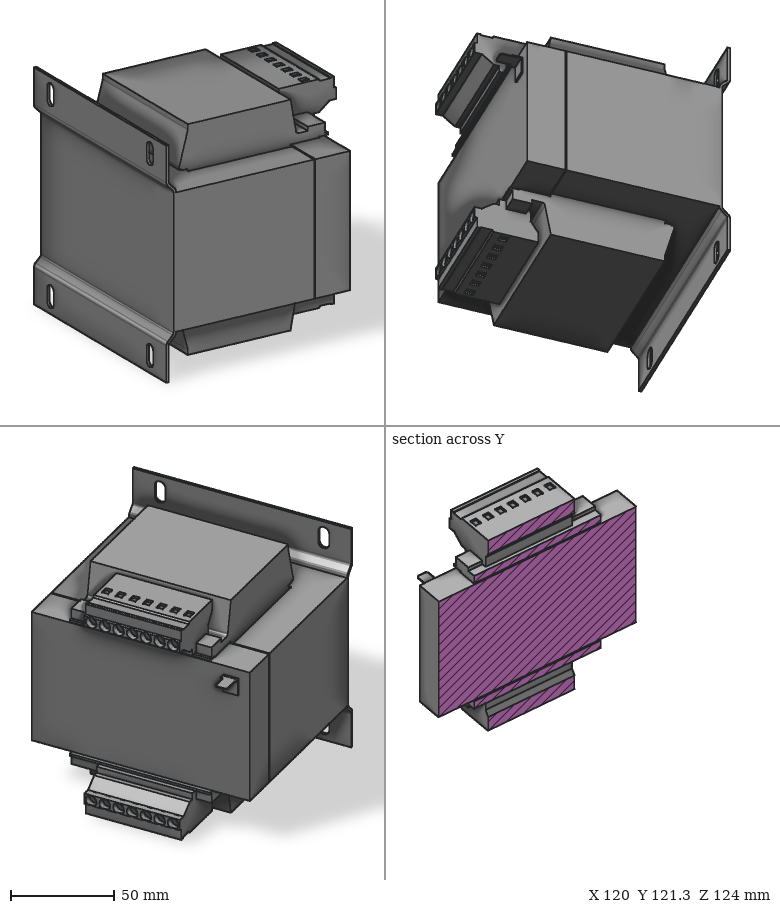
import cadquery as cq
import math


core_width = 120.0
core_height = 72.9
core_front = 5.6
limb = 20.0
window_depth = 59.5
joint_width = 0.5
joint_depth = 0.2
window_front = core_front + limb
window_back = window_front + window_depth
core_back = window_back + joint_width + limb
core_top = core_height / 2

coil_width = 77.1
cover_gap = 0.5
cover_bottom = core_top + cover_gap
rim_step = 0.5
rim_bottom = cover_bottom + rim_step
cover_top = 60.4
corner_radius = 1.7

plate_height = 124.0
plate_thickness = 1.5
plate_offset = core_front - plate_thickness
bend_start = 37.3
bend_inner = 1.5
bend_outer = bend_inner + plate_thickness
slot_width = 6.0
slot_length = 12.0
slot_spacing_x = 90.0
slot_spacing_z = 105.6

pole_count = 7
terminal_left = -30.0
terminal_width = 52.6
pole_pitch = terminal_width / pole_count
terminal_top = 59.9
terminal_back = 121.3
screw_width = 3.5
screw_front = 102.8
screw_length = 4.3
screw_depth = 1.2
wire_hole_radius = 3.0
wire_hole_depth = 3.7
wire_hole_z = 50.6

tab_left = -53.8
tab_base_width = 8.2
tab_blade_left = -53.3
tab_blade_width = 6.5
tab_base_back = 108.9
tab_back = 116.8
tab_tip_chamfer = 0.9
tab_top = 31.4
tab_bottom = 22.1
tab_thickness = 0.5
tab_leg_thickness = 0.7


def box(x0, x1, y0, y1, z0, z1):
    return cq.Workplane("XY").box(x1 - x0, y1 - y0, z1 - z0, centered=False).translate((x0, y0, z0))


def extrude_along_x(points, x0, width):
    """Extrude a closed (Y, Z) outline from x0 towards +X."""
    return cq.Workplane("YZ", origin=(x0, 0, 0)).polyline(points).close().extrude(width)


def make_core():
    half = core_width / 2
    window_half = half - limb
    core = box(-half, half, core_front, core_back, -core_top, core_top)
    core = core.cut(box(-window_half, window_half, window_front, window_back, -core_top, core_top))
    joint = box(-half, half, window_back, window_back + joint_width, -core_top, core_top)
    inner_half = half - joint_depth
    inner_top = core_top - joint_depth
    inside = box(-inner_half, inner_half, core_front, core_back, -inner_top, inner_top)
    return core.cut(joint.cut(inside))


def make_coil():
    """Coil block filling the core window, joining the core to both covers."""
    half = coil_width / 2
    return box(-half, half, window_front, window_back, -cover_bottom, cover_bottom)


def make_cover():
    """Upper cover with a rear ledge and the clip that carries the terminals."""
    ledge = 41.9
    clip_top = 44.1
    clip_front = 94.7
    clip_back = 104.8
    lip_back = 106.4
    lip_top = 38.7
    rear_wall_top = 85.0
    rear_wall_foot = 88.3
    outline = [
        (22.3, cover_bottom),
        (22.3, rim_bottom),
        (21.0, rim_bottom),
        (21.0, 39.0),
        (25.9, 57.5),
        (25.9, cover_top),
        (rear_wall_top, cover_top),
        (rear_wall_foot, ledge),
        (clip_front, ledge),
        (clip_front, clip_top),
        (clip_back, clip_top),
        (clip_back, lip_top),
        (lip_back, lip_top),
        (lip_back, rim_bottom),
        (101.5, rim_bottom),
        (101.5, cover_bottom),
    ]
    cover = extrude_along_x(outline, -coil_width / 2, coil_width)
    corner = cq.selectors.NearestToPointSelector((0, rear_wall_foot, ledge))
    return cover.edges(corner).fillet(corner_radius)


def make_terminals():
    """Upper row of terminals, each pole with a screw pocket and a wire entry."""
    outline = [
        (88.2, terminal_top),
        (111.4, terminal_top),
        (112.1, 58.9),
        (118.0, 58.9),
        (118.0, 59.4),
        (120.0, 59.4),
        (120.0, 53.7),
        (terminal_back, 53.3),
        (terminal_back, 47.4),
        (117.5, 47.4),
        (111.2, 42.5),
        (108.5, 42.5),
        (108.5, 39.0),
        (104.2, 39.0),
        (104.2, 41.9),
        (92.1, 41.9),
        (92.1, 48.0),
        (88.2, 54.1),
    ]
    block = extrude_along_x(outline, terminal_left, terminal_width)
    for pole in range(pole_count):
        x = terminal_left + (pole + 0.5) * pole_pitch
        screw = box(
            x - screw_width / 2, x + screw_width / 2,
            screw_front, screw_front + screw_length,
            terminal_top - screw_depth, terminal_top,
        )
        wire_hole = (
            cq.Workplane("XZ", origin=(x, terminal_back, wire_hole_z))
            .circle(wire_hole_radius)
            .extrude(wire_hole_depth)
        )
        block = block.cut(screw).cut(wire_hole)
    return block


def make_plate():
    """Full-height plate whose two ends step out at 45 degrees into slotted flanges."""
    end = plate_height / 2
    bend_end = bend_start + plate_offset
    shift = plate_thickness * math.tan(math.pi / 8)
    upper = [
        (plate_offset, bend_start),
        (0, bend_end),
        (0, end),
        (plate_thickness, end),
        (plate_thickness, bend_end + shift),
        (core_front, bend_start + shift),
    ]
    lower = [(y, -z) for y, z in reversed(upper)]
    plate = extrude_along_x(upper + lower, -core_width / 2, core_width)
    for side in (1, -1):
        bends = [
            (plate_offset, bend_start, bend_inner),
            (0, bend_end, bend_outer),
            (plate_thickness, bend_end + shift, bend_inner),
            (core_front, bend_start + shift, bend_outer),
        ]
        for y, z, radius in bends:
            corner = cq.selectors.NearestToPointSelector((0, y, side * z))
            plate = plate.edges(corner).fillet(radius)
    slots = (
        cq.Workplane("XZ")
        .rarray(slot_spacing_x, slot_spacing_z, 2, 2)
        .slot2D(slot_length, slot_width, 90)
        .extrude(-plate_thickness)
    )
    return plate.cut(slots)


def make_earth_tab():
    leg_back = core_back + tab_leg_thickness
    base_right = tab_left + tab_base_width
    blade_right = tab_blade_left + tab_blade_width
    tab_under = tab_top - tab_thickness
    leg = box(tab_left, base_right, core_back, leg_back, tab_bottom, tab_top)
    base = box(tab_left, base_right, core_back, tab_base_back, tab_under, tab_top)
    blade = box(tab_blade_left, blade_right, core_back, tab_back, tab_under, tab_top)
    blade = blade.edges("|Z and >Y").chamfer(tab_tip_chamfer)
    return leg.union(base).union(blade)


upper_half = make_cover().union(make_terminals())
result = (
    make_core()
    .union(make_coil())
    .union(make_plate())
    .union(make_earth_tab())
    .union(upper_half)
    .union(upper_half.mirror("XY"))
)